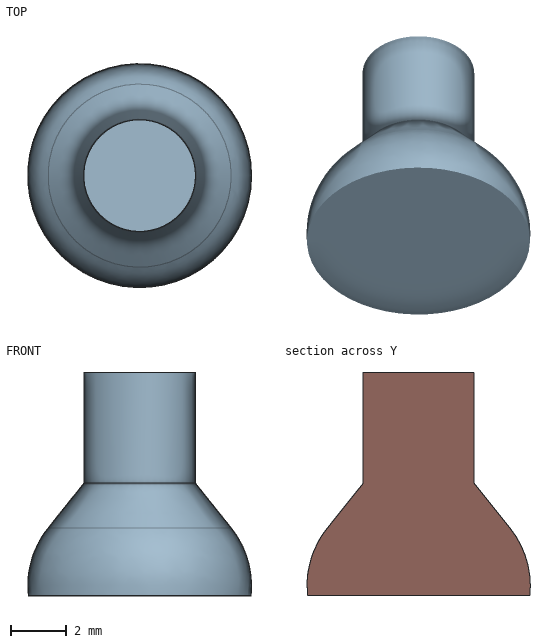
import cadquery as cq

base_radius = 3.99
total_height = 8.0
stem_radius = 2.001

dome_top = 2.43
cone_top = 4.0
stem_start = 4.04

dome_top_radius = 3.28
cone_top_radius = 2.02

profile = (
    cq.Workplane("XZ")
    .moveTo(0, total_height)
    .lineTo(stem_radius, total_height)
    .lineTo(stem_radius, stem_start)
    .lineTo(cone_top_radius, cone_top)
    .lineTo(dome_top_radius, dome_top)
    .tangentArcPoint((base_radius, 0), relative=False)
    .lineTo(0, 0)
    .close()
)

result = profile.revolve(360, (0, 0), (0, 1))